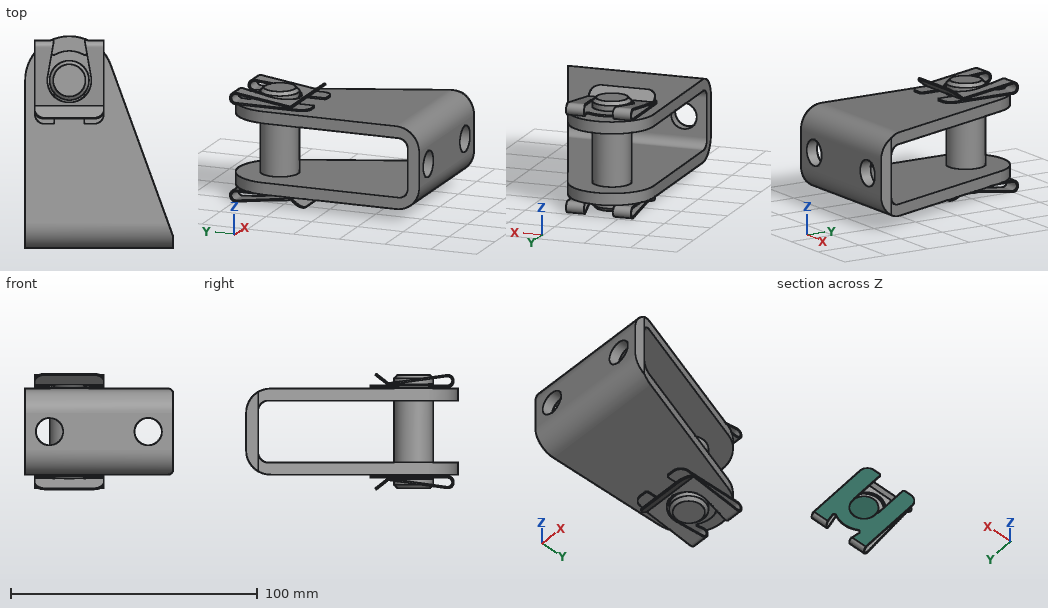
import cadquery as cq
import math


PLATE = 5.0
BRACKET_HEIGHT = 35.0
BRACKET_WIDTH = 60.0
BRACKET_LENGTH = 86.0
BEND_RADIUS = 10.0
INNER_BEND_RADIUS = 4.0
EAR_RADIUS = 18.0
MOUNT_HOLE_DIAMETER = 11.0
MOUNT_HOLE_SPACING = 40.0
MOUNT_HOLE_EDGE = 10.0

LEFT_X = -EAR_RADIUS
RIGHT_X = LEFT_X + BRACKET_WIDTH
BACK_Y = EAR_RADIUS - BRACKET_LENGTH

PIN_DIAMETER = 16.0
PIN_LENGTH = 46.1
PIN_CHAMFER = 1.5
GROOVE_DIAMETER = 12.0
GROOVE_WIDTH = 1.2
GROOVE_START = 18.1

STRIP = 0.7
CLIP_WIDTH = 28.0
LOOP_RADIUS = 2.5
LOOP_END_Y = 16.25
LOWER_LEG_END_Y = -17.6
VALLEY_Y = -10.5
UPPER_LEG_ANGLE = math.radians(8)
LIP_ANGLE = math.radians(38)
LIP_TOP = 23.5
CORNER_RADIUS = 4.0
SMALL_RADIUS = 0.8
KEYHOLE_RADIUS = 8.95
KEYHOLE_TAPER = math.radians(10)
NOTCH_RADIUS = 11.95
CUT_REACH = 8.6


def cylinder(diameter, bottom, top):
    return cq.Workplane("XY").workplane(offset=bottom).circle(diameter / 2).extrude(top - bottom)


def make_bracket():
    inner_height = BRACKET_HEIGHT - 2 * PLATE
    outer = (
        cq.Workplane("XY")
        .box(BRACKET_WIDTH, BRACKET_LENGTH, BRACKET_HEIGHT, centered=(False, False, True))
        .translate((LEFT_X, BACK_Y, 0))
        .edges("|X and <Y")
        .fillet(BEND_RADIUS)
    )
    inner = (
        cq.Workplane("XY")
        .box(BRACKET_WIDTH, BRACKET_LENGTH, inner_height, centered=(False, False, True))
        .translate((LEFT_X, BACK_Y + PLATE, 0))
        .edges("|X and <Y")
        .fillet(INNER_BEND_RADIUS)
    )

    taper_y = BACK_Y + PLATE
    corner_distance = math.hypot(RIGHT_X, taper_y)
    tangent_angle = math.atan2(taper_y, RIGHT_X) + math.acos(EAR_RADIUS / corner_distance)
    tangent_point = (EAR_RADIUS * math.cos(tangent_angle), EAR_RADIUS * math.sin(tangent_angle))
    outline = (
        cq.Workplane("XY")
        .workplane(offset=-BRACKET_HEIGHT / 2)
        .moveTo(LEFT_X, BACK_Y)
        .lineTo(RIGHT_X, BACK_Y)
        .lineTo(RIGHT_X, taper_y)
        .lineTo(*tangent_point)
        .threePointArc((0, EAR_RADIUS), (LEFT_X, 0))
        .close()
        .extrude(BRACKET_HEIGHT)
    )
    bracket = outer.cut(inner).intersect(outline)

    bracket = bracket.cut(cylinder(PIN_DIAMETER, -BRACKET_HEIGHT / 2, BRACKET_HEIGHT / 2))
    first_hole_x = LEFT_X + MOUNT_HOLE_EDGE
    mount_holes = (
        cq.Workplane("XZ", origin=(0, BACK_Y + PLATE, 0))
        .pushPoints([(first_hole_x, 0), (first_hole_x + MOUNT_HOLE_SPACING, 0)])
        .circle(MOUNT_HOLE_DIAMETER / 2)
        .extrude(PLATE)
    )
    return bracket.cut(mount_holes)


def make_pin():
    pin = cylinder(PIN_DIAMETER, -PIN_LENGTH / 2, PIN_LENGTH / 2).faces("|Z").chamfer(PIN_CHAMFER)
    groove = cylinder(PIN_DIAMETER, GROOVE_START, GROOVE_START + GROOVE_WIDTH).cut(
        cylinder(GROOVE_DIAMETER, GROOVE_START, GROOVE_START + GROOVE_WIDTH)
    )
    return pin.cut(groove).cut(groove.mirror("XY"))


def make_strip():
    """Folded strip of the upper clip, before its openings are cut."""
    loop_y = LOOP_END_Y - LOOP_RADIUS
    loop_z = GROOVE_START + LOOP_RADIUS
    inner_radius = LOOP_RADIUS - STRIP
    leg_normal = (-math.sin(UPPER_LEG_ANGLE), math.cos(UPPER_LEG_ANGLE))
    lip_normal = (math.sin(LIP_ANGLE), math.cos(LIP_ANGLE))

    def loop_point(radius):
        return (loop_y + radius * leg_normal[0], loop_z + radius * leg_normal[1])

    inner_tangent = loop_point(inner_radius)
    valley_z = inner_tangent[1] - (inner_tangent[0] - VALLEY_Y) * math.tan(UPPER_LEG_ANGLE)
    mitre = STRIP / (1 + math.cos(UPPER_LEG_ANGLE + LIP_ANGLE))
    valley_top = (
        VALLEY_Y + mitre * (leg_normal[0] + lip_normal[0]),
        valley_z + mitre * (leg_normal[1] + lip_normal[1]),
    )
    lip_bottom_z = LIP_TOP - STRIP * lip_normal[1]
    lip_bottom_y = VALLEY_Y - (lip_bottom_z - valley_z) / math.tan(LIP_ANGLE)

    strip = (
        cq.Workplane("YZ", origin=(-CLIP_WIDTH / 2, 0, 0))
        .moveTo(LOWER_LEG_END_Y, GROOVE_START)
        .lineTo(loop_y, GROOVE_START)
        .threePointArc((LOOP_END_Y, loop_z), loop_point(LOOP_RADIUS))
        .lineTo(*valley_top)
        .lineTo(lip_bottom_y + STRIP * lip_normal[0], LIP_TOP)
        .lineTo(lip_bottom_y, lip_bottom_z)
        .lineTo(VALLEY_Y, valley_z)
        .lineTo(*inner_tangent)
        .threePointArc((loop_y + inner_radius, loop_z), (loop_y, GROOVE_START + STRIP))
        .lineTo(LOWER_LEG_END_Y, GROOVE_START + STRIP)
        .close()
        .extrude(CLIP_WIDTH)
    )
    strip = strip.faces("<Y").edges("|Z").fillet(CORNER_RADIUS)
    lip_end = cq.Vector(0, -math.cos(LIP_ANGLE), math.sin(LIP_ANGLE))
    return strip.faces(cq.selectors.DirectionMinMaxSelector(lip_end)).edges("not |X").fillet(CORNER_RADIUS)


def make_keyhole(bottom):
    """Plan shape of the opening: round at the pin and narrowing toward the loop."""
    top_y = LOOP_END_Y + CUT_REACH
    tangent_x = KEYHOLE_RADIUS * math.cos(KEYHOLE_TAPER)
    tangent_y = KEYHOLE_RADIUS * math.sin(KEYHOLE_TAPER)
    narrow_x = tangent_x - (top_y - tangent_y) * math.tan(KEYHOLE_TAPER)
    return (
        cq.Workplane("XY")
        .workplane(offset=bottom)
        .moveTo(narrow_x, top_y)
        .lineTo(tangent_x, tangent_y)
        .threePointArc((0, -KEYHOLE_RADIUS), (-tangent_x, tangent_y))
        .lineTo(-narrow_x, top_y)
        .close()
        .extrude(LIP_TOP - bottom)
    )


def make_upper_clip():
    leg_top = GROOVE_START + STRIP
    upper_opening = make_keyhole(leg_top)
    lower_opening = (
        make_keyhole(GROOVE_START)
        .cut(cylinder(2 * NOTCH_RADIUS, GROOVE_START, LIP_TOP))
        .edges("|Z and (not >Y)")
        .fillet(SMALL_RADIUS)
    )
    slot_length = -LOWER_LEG_END_Y
    slot = (
        cq.Workplane("XY", origin=(0, -slot_length / 2, GROOVE_START))
        .rect(GROOVE_DIAMETER, slot_length)
        .extrude(STRIP)
        .union(cylinder(GROOVE_DIAMETER, GROOVE_START, leg_top))
    )
    clip = make_strip().cut(upper_opening).cut(lower_opening).cut(slot)
    inner_corners = cq.selectors.BoxSelector(
        (-GROOVE_DIAMETER / 2 - STRIP, LOWER_LEG_END_Y - STRIP, GROOVE_START - STRIP),
        (GROOVE_DIAMETER / 2 + STRIP, LOWER_LEG_END_Y + STRIP, leg_top + STRIP),
    )
    return clip.edges("|Z").edges(inner_corners).fillet(SMALL_RADIUS)


def make_clips():
    clips = []
    for side in (1, -1):
        clip = make_upper_clip()
        if side < 0:
            clip = clip.mirror("XY")
        clips.append(clip.solids().val())
    return clips


bracket = make_bracket()
pin = make_pin()
clips = make_clips()

result = cq.Compound.makeCompound([bracket.solids().val(), pin.solids().val(), *clips])